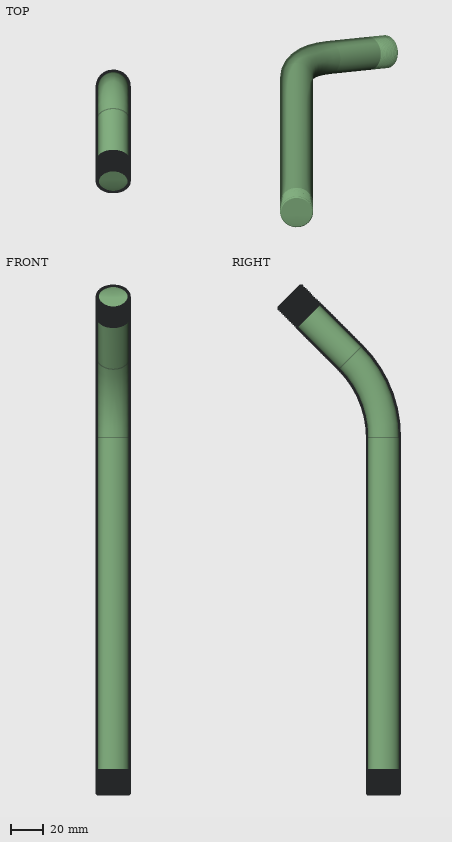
import cadquery as cq
import math

total_height = 315.5
total_depth = 75.5
bar_diameter = 20.5
bend_angle = 45.0
bend_radius = 70.0
lower_thread_length = 15.0
upper_thread_length = 16.5
thread_pitch = 1.3
thread_depth = 0.5
end_chamfer = 0.5

bar_radius = bar_diameter / 2
bend_sine = math.sin(math.radians(bend_angle))
bend_cosine = math.cos(math.radians(bend_angle))
bend_offset = bend_radius * (1 - bend_cosine)
bend_rise = bend_radius * bend_sine
rim_radius = bar_radius - end_chamfer
depth_by_rim = bar_radius + bend_offset + rim_radius * bend_cosine
arm_length = (total_depth - depth_by_rim) / bend_sine
arm_rise = arm_length * bend_cosine
lower_length = total_height - bend_rise - arm_rise - rim_radius * bend_sine


def threaded_bar(length, thread_length):
    """Bar along +Z with a chamfered end at Z = 0, followed by V-shaped ring grooves."""
    root_radius = bar_radius - thread_depth
    groove_count = math.floor((thread_length - end_chamfer) / thread_pitch)
    outline = [(0, 0), (bar_radius - end_chamfer, 0), (bar_radius, end_chamfer)]
    first_groove = thread_length - groove_count * thread_pitch
    if first_groove > end_chamfer:
        outline.append((bar_radius, first_groove))
    for index in range(groove_count):
        groove_start = first_groove + index * thread_pitch
        outline.append((root_radius, groove_start + thread_pitch / 2))
        outline.append((bar_radius, groove_start + thread_pitch))
    outline += [(bar_radius, length), (0, length)]
    return cq.Workplane("XZ").polyline(outline).close().revolve(360, (0, 0), (0, 1))


lower_leg = threaded_bar(lower_length, lower_thread_length)

bend = (
    cq.Workplane("XY", origin=(0, 0, lower_length))
    .circle(bar_radius)
    .revolve(bend_angle, (0, -bend_radius), (1, -bend_radius))
)

upper_arm = (
    threaded_bar(arm_length, upper_thread_length)
    .rotate((0, 0, 0), (1, 0, 0), 180)
    .translate((0, 0, arm_length))
    .rotate((0, 0, 0), (1, 0, 0), bend_angle)
    .translate((0, -bend_offset, lower_length + bend_rise))
)

result = lower_leg.union(bend).union(upper_arm)